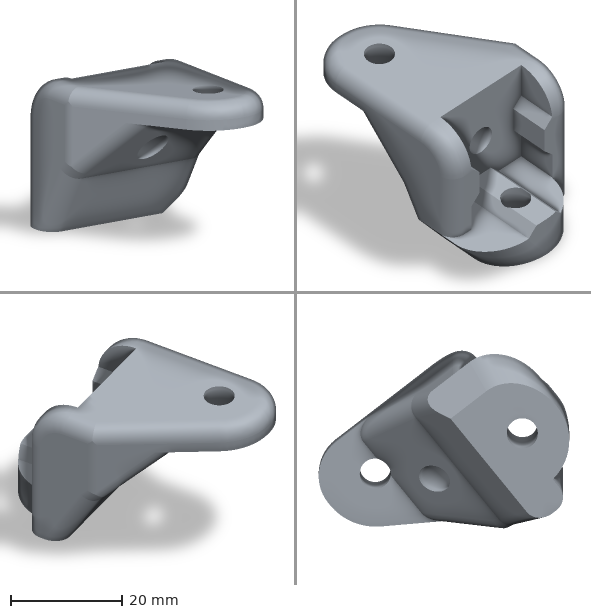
import cadquery as cq
import math

length = 47.0
width = 30.0
height = 28.4
half_width = width / 2
edge_radius = 3.0
hole_diameter = 5.6

tower_front_x = 9.0
shoulder_radius = 8.0
plate_thickness = 5.0
plate_bottom_z = height - plate_thickness
kink_x = 23.0
upper_slope_end_x = 35.0
lower_slope_angle = 60.0
kink_z = plate_bottom_z - (upper_slope_end_x - kink_x)
slope_foot_x = kink_x - kink_z / math.tan(math.radians(lower_slope_angle))

foot_allowance = 4.7

tip_corner_y = 0.8
tip_back_radius = 8.0
tip_front_radius = 10.5
tip_hole_x = 37.0
tip_hole_y = 6.0

pocket_back_x = 17.0
pocket_half_width = 10.15
pocket_floor_z = 6.5
pocket_center_z = 16.55
ridge_height = 1.97
ridge_base_half = 4.5
ridge_top_half = ridge_base_half - ridge_height
ridge_top_z = pocket_floor_z + ridge_height

pad_hole_x = 8.0
pad_lean_radius = 8.2
pad_end_x = tower_front_x + edge_radius


def along_x(points, start_x, end_x):
    """Prism with a YZ section, running from start_x to end_x."""
    section = cq.Workplane("YZ", origin=(start_x, 0, 0)).polyline(points).close()
    return section.extrude(end_x - start_x)


def plan_prism(start_x, bottom_z, top_z):
    """Tapered plan with the rounded tip; its diagonal side starts at start_x."""
    taper = (tip_corner_y + half_width) / (length - kink_x)
    start_y = -half_width + taper * (start_x - kink_x)
    prism = (
        cq.Workplane("XY", origin=(0, 0, bottom_z))
        .polyline([
            (0, start_y),
            (start_x, start_y),
            (length, tip_corner_y),
            (length, half_width),
            (0, half_width),
        ])
        .close()
        .extrude(top_z - bottom_z)
    )
    prism = prism.edges("|Z and >X and >Y").fillet(tip_back_radius)
    tip_corner = cq.selectors.NearestToPointSelector((length, tip_corner_y, (bottom_z + top_z) / 2))
    return prism.edges(tip_corner).fillet(tip_front_radius)


def slope_prism():
    """Everything above and in front of the two slopes, oversized elsewhere."""
    foot_x = slope_foot_x - foot_allowance / math.tan(math.radians(lower_slope_angle))
    top_x = upper_slope_end_x + plate_thickness
    return (
        cq.Workplane("XZ", origin=(0, half_width, 0))
        .polyline([
            (0, -foot_allowance),
            (foot_x, -foot_allowance),
            (kink_x, kink_z),
            (top_x, height),
            (0, height),
        ])
        .close()
        .extrude(2 * width)
    )


def straight_block(bottom_z):
    """Block between the parallel sides, with its front at the tower front."""
    return cq.Workplane("XY", origin=(tower_front_x, 0, bottom_z)).box(
        length, width, height - bottom_z, centered=(False, True, False)
    )


def slope_edges(block, side_y):
    """The two edges, nearest to a side, where the slopes meet that side."""
    lower_mid = ((slope_foot_x + kink_x) / 2, side_y, kink_z / 2)
    upper_mid = ((kink_x + upper_slope_end_x) / 2, side_y, (kink_z + plate_bottom_z) / 2)
    lower = block.edges(cq.selectors.NearestToPointSelector(lower_mid))
    return lower.add(block.edges(cq.selectors.NearestToPointSelector(upper_mid)))


def make_brace():
    """Tower web down to the foot, its slopes rounded along every side."""
    straight = slope_prism().intersect(straight_block(-foot_allowance))
    for side_y in (-half_width, half_width):
        straight = slope_edges(straight, side_y).fillet(edge_radius)
    tapered = slope_prism().intersect(plan_prism(tower_front_x, -foot_allowance, height))
    tapered = slope_edges(tapered, -half_width).fillet(edge_radius)
    return straight.intersect(tapered)


def make_shell():
    """Outer envelope: front, shoulder, top and tip with their rounded rim."""
    straight = straight_block(0).edges("<X and >Z").fillet(shoulder_radius)
    straight = straight.edges("|X and >Z").fillet(edge_radius)

    tapered = plan_prism(tower_front_x, 0, height).edges("|X and >Z and >Y").fillet(edge_radius)

    corner = plan_prism(kink_x, 0, height)
    corner_edge = cq.selectors.NearestToPointSelector((kink_x, -half_width, height / 2))
    corner = corner.edges(corner_edge).fillet(edge_radius)
    return straight.intersect(tapered).intersect(corner)


def make_body():
    plate = straight_block(plate_bottom_z)
    return make_shell().intersect(make_brace().union(plate))


def round_pad_corner(block, side_y, radius):
    """Round the upright edge of a block at X = 0 nearest to side_y."""
    corner = cq.selectors.NearestToPointSelector((0, side_y, pocket_floor_z / 2))
    return block.edges(corner).fillet(radius)


def make_pad():
    section = [
        (-pocket_half_width, 0),
        (pocket_half_width, 0),
        (half_width, pocket_floor_z),
        (-pocket_half_width, pocket_floor_z),
    ]
    pad = along_x(section, 0, pad_end_x)
    pad = round_pad_corner(pad, half_width, pad_lean_radius)
    return round_pad_corner(pad, -pocket_half_width, pocket_half_width)


def make_floor_ridge():
    ridge = along_x(
        [
            (-ridge_base_half, pocket_floor_z),
            (-ridge_top_half, ridge_top_z),
            (ridge_top_half, ridge_top_z),
            (ridge_base_half, pocket_floor_z),
        ],
        0,
        pocket_back_x,
    )
    limit = cq.Workplane("XY").box(
        pocket_back_x, 2 * pocket_half_width, ridge_top_z, centered=(False, True, False)
    )
    return ridge.intersect(round_pad_corner(limit, -pocket_half_width, pocket_half_width))


def make_pocket():
    wall_y = pocket_half_width
    ridge_y = pocket_half_width - ridge_height
    right_wall = [
        (wall_y, pocket_floor_z),
        (wall_y, pocket_center_z - ridge_base_half),
        (ridge_y, pocket_center_z - ridge_top_half),
        (ridge_y, pocket_center_z + ridge_top_half),
        (wall_y, pocket_center_z + ridge_base_half),
        (wall_y, height),
    ]
    left_wall = [(-y, z) for y, z in reversed(right_wall)]
    return along_x(right_wall + left_wall, tower_front_x, pocket_back_x)


def make_lean_cut():
    """Wedge below the +Y wall, continuing the lean of the pad."""
    return along_x(
        [(pocket_half_width, 0), (half_width, pocket_floor_z), (half_width, 0)],
        tower_front_x,
        length,
    )


def make_holes():
    radius = hole_diameter / 2
    holes = cq.Workplane("XY").pushPoints([(pad_hole_x, 0), (tip_hole_x, tip_hole_y)])
    holes = holes.circle(radius).extrude(height)
    back_hole = cq.Workplane("YZ").center(0, pocket_center_z).circle(radius).extrude(length)
    return holes.union(back_hole)


body = make_body().cut(make_lean_cut()).cut(make_pocket())
result = body.union(make_pad()).union(make_floor_ridge()).cut(make_holes())